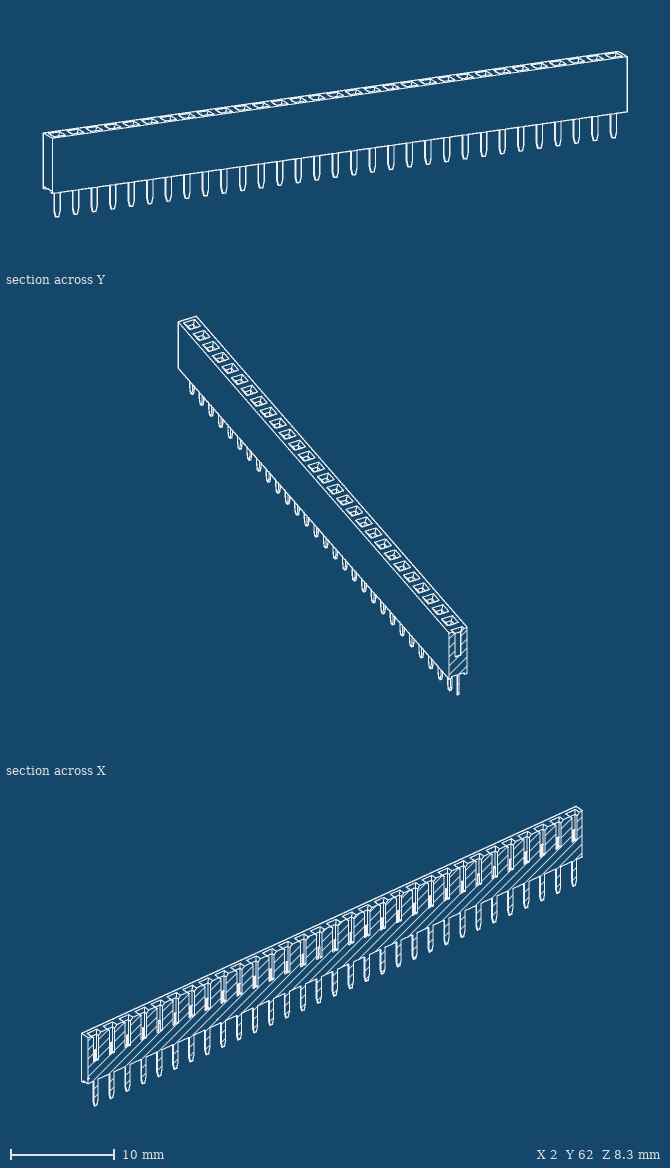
import cadquery as cq
pin_count = 31
body_length = 62.0
pitch = body_length / pin_count
body_width = 2.0
total_height = 8.3
body_height = 5.6
tail_length = total_height - body_height
body_top = total_height / 2
body_bottom = body_top - body_height

channel_width = 1.35
channel_depth = 0.2

hole_width = 0.6
entry_depth = hole_width / 2
entry_width = hole_width + 2 * entry_depth
hole_depth = 3.1

contact_width = 0.2
contact_top_depth = 1.85
pin_width = 0.6
pin_thickness = 0.2
tail_tip_width = 0.3
tail_tip_height = 0.6

pin_positions = [(0, (index - (pin_count - 1) / 2) * pitch) for index in range(pin_count)]


def make_body():
    body = cq.Workplane("XY", origin=(0, 0, body_bottom)).box(
        body_width, body_length, body_height, centered=(True, True, False)
    )
    channel = cq.Workplane("XY", origin=(0, 0, body_bottom)).box(
        channel_width, body_length, channel_depth, centered=(True, True, False)
    )
    return body.cut(channel)


def make_socket():
    entry = (
        cq.Workplane("XY", origin=(0, 0, body_top))
        .rect(entry_width, entry_width)
        .workplane(offset=-entry_depth)
        .rect(hole_width, hole_width)
        .loft(combine=True)
    )
    hole = cq.Workplane("XY", origin=(0, 0, body_top - hole_depth)).box(
        hole_width, hole_width, hole_depth, centered=(True, True, False)
    )
    return entry.union(hole)


def make_pin():
    contact_top = body_top - contact_top_depth
    contact_root = body_top - hole_depth
    tail_end = body_bottom - tail_length
    shoulder = tail_end + tail_tip_height
    outline = [
        (-contact_width / 2, contact_top),
        (-contact_width / 2, contact_root),
        (-pin_width / 2, contact_root),
        (-pin_width / 2, shoulder),
        (-tail_tip_width / 2, tail_end),
        (tail_tip_width / 2, tail_end),
        (pin_width / 2, shoulder),
        (pin_width / 2, contact_root),
        (contact_width / 2, contact_root),
        (contact_width / 2, contact_top),
    ]
    return cq.Workplane("YZ").polyline(outline).close().extrude(pin_thickness / 2, both=True)


def repeat_along_row(shape):
    solid = shape.val()
    return cq.Workplane("XY").pushPoints(pin_positions).eachpoint(
        lambda place: solid.moved(place), combine=False
    ).combine()


result = make_body().cut(repeat_along_row(make_socket())).union(repeat_along_row(make_pin()))